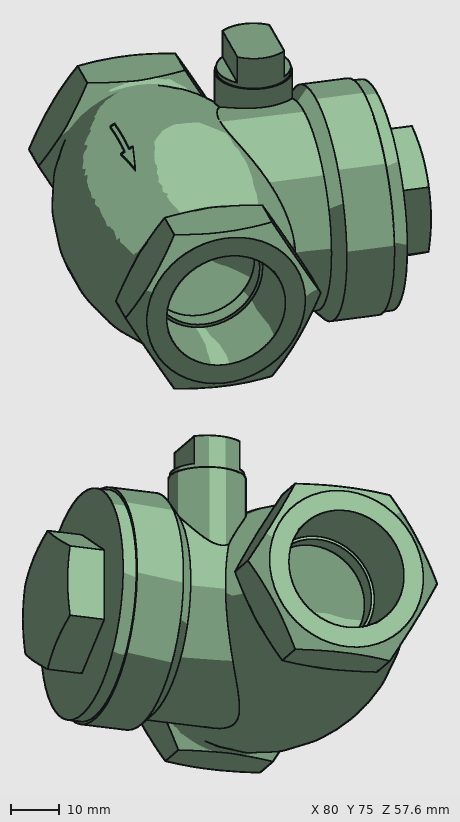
import cadquery as cq
import math

LENGTH = 80.0
HALF_LENGTH = LENGTH / 2

BODY_RADIUS = 24.0
NECK_RADIUS = 17.6
NECK_X = 27.2
NECK_FILLET = 2.0

END_HEX_FLATS = 36.0
END_HEX_CORNER = END_HEX_FLATS / math.sqrt(3)
END_FACE_RADIUS = 16.9
END_BEVEL_ANGLE = math.radians(30)

BORE_MOUTH_RADIUS = 12.6
BORE_INNER_RADIUS = 12.2
BORE_DEPTH = 16.0
DRILL_RADIUS = 11.5
DRILL_DEPTH = 20.0
DRILL_POINT_ANGLE = math.radians(118)

BRANCH_RADIUS = 22.0
FLANGE_RADIUS = 24.6
FLANGE_START_Y = 29.9
FLANGE_END_Y = 40.1
FLANGE_CHAMFER = FLANGE_RADIUS - BRANCH_RADIUS
CAP_RADIUS = 24.0
CAP_END_Y = 43.0
COVER_HEX_FLATS = 26.1
COVER_HEX_CORNER = COVER_HEX_FLATS / math.sqrt(3)
COVER_HEX_END_Y = 51.0
COVER_HEX_FACE_RADIUS = 13.0
COVER_BEVEL_ANGLE = math.radians(15)

STUD_X = -12.0
STUD_Y = 20.0
STUD_RADIUS = 8.0
STUD_SHOULDER_Z = 26.0
STUD_TOP_RADIUS = 7.7
STUD_FLAT_Z = 27.0
STUD_TOP_Z = 33.0
STUD_FLATS = 10.0

ARROW_Y = -11.6
ARROW_TAIL_X = -6.2
ARROW_HEAD_X = 5.1
ARROW_TIP_X = 11.8
ARROW_SHAFT_HALF = 0.5
ARROW_HEAD_HALF = 1.3
ARROW_HEIGHT = 0.2


def make_body():
    """Solid of revolution about X: end bevels, fillets at the necks and a bulging middle."""
    fillet_y = NECK_RADIUS + NECK_FILLET
    rise = BODY_RADIUS - fillet_y
    bulge = (NECK_X**2 + rise**2 - NECK_FILLET**2) / (2 * (rise + NECK_FILLET))
    blend = math.asin(NECK_X / (bulge + NECK_FILLET))
    blend_x = NECK_X - NECK_FILLET * math.sin(blend)
    blend_r = fillet_y - NECK_FILLET * math.cos(blend)

    bevel_x = NECK_X + NECK_FILLET * math.cos(END_BEVEL_ANGLE)
    bevel_r = fillet_y - NECK_FILLET * math.sin(END_BEVEL_ANGLE)
    inner_x = bevel_x + (END_HEX_CORNER - bevel_r) * math.tan(END_BEVEL_ANGLE)
    outer_x = HALF_LENGTH - (END_HEX_CORNER - END_FACE_RADIUS) * math.tan(END_BEVEL_ANGLE)

    turned = (
        cq.Workplane("XY")
        .moveTo(-HALF_LENGTH, 0)
        .lineTo(-HALF_LENGTH, END_FACE_RADIUS)
        .lineTo(-outer_x, END_HEX_CORNER)
        .lineTo(-inner_x, END_HEX_CORNER)
        .lineTo(-bevel_x, bevel_r)
        .threePointArc((-NECK_X, NECK_RADIUS), (-blend_x, blend_r))
        .threePointArc((0, BODY_RADIUS), (blend_x, blend_r))
        .threePointArc((NECK_X, NECK_RADIUS), (bevel_x, bevel_r))
        .lineTo(inner_x, END_HEX_CORNER)
        .lineTo(outer_x, END_HEX_CORNER)
        .lineTo(HALF_LENGTH, END_FACE_RADIUS)
        .lineTo(HALF_LENGTH, 0)
        .close()
        .revolve(360, (0, 0, 0), (1, 0, 0))
    )

    bulge_zone = cq.Workplane("YZ").circle(LENGTH).extrude(NECK_X, both=True)
    hexagon = cq.Workplane("YZ").polygon(6, 2 * END_HEX_CORNER).extrude(HALF_LENGTH, both=True)
    return turned.intersect(bulge_zone.union(hexagon))


def make_bore():
    """Blind bore at the -X end, turned about X."""
    shoulder_x = -HALF_LENGTH + BORE_DEPTH
    drill_x = -HALF_LENGTH + DRILL_DEPTH
    tip_x = drill_x + DRILL_RADIUS / math.tan(DRILL_POINT_ANGLE / 2)
    return (
        cq.Workplane("XY")
        .moveTo(-HALF_LENGTH, 0)
        .lineTo(-HALF_LENGTH, BORE_MOUTH_RADIUS)
        .lineTo(shoulder_x, BORE_INNER_RADIUS)
        .lineTo(shoulder_x, DRILL_RADIUS)
        .lineTo(drill_x, DRILL_RADIUS)
        .lineTo(tip_x, 0)
        .close()
        .revolve(360, (0, 0, 0), (1, 0, 0))
    )


def make_cover():
    """Branch, flange and cap turned about Y, closed by a bevelled hexagon."""
    turned = (
        cq.Workplane("XY")
        .lineTo(BRANCH_RADIUS, 0)
        .lineTo(BRANCH_RADIUS, FLANGE_START_Y - FLANGE_CHAMFER)
        .lineTo(FLANGE_RADIUS, FLANGE_START_Y)
        .lineTo(FLANGE_RADIUS, FLANGE_END_Y)
        .lineTo(CAP_RADIUS, FLANGE_END_Y)
        .lineTo(CAP_RADIUS, CAP_END_Y)
        .lineTo(0, CAP_END_Y)
        .close()
        .revolve(360, (0, 0, 0), (0, 1, 0))
    )
    bevel_width = COVER_HEX_CORNER - COVER_HEX_FACE_RADIUS
    bevel_y = COVER_HEX_END_Y - bevel_width * math.tan(COVER_BEVEL_ANGLE)
    hex_envelope = (
        cq.Workplane("XY")
        .lineTo(COVER_HEX_CORNER, 0)
        .lineTo(COVER_HEX_CORNER, bevel_y)
        .lineTo(COVER_HEX_FACE_RADIUS, COVER_HEX_END_Y)
        .lineTo(0, COVER_HEX_END_Y)
        .close()
        .revolve(360, (0, 0, 0), (0, 1, 0))
    )
    hexagon = (
        cq.Workplane("XZ")
        .transformed(rotate=(0, 0, 90))
        .polygon(6, 2 * COVER_HEX_CORNER)
        .extrude(-COVER_HEX_END_Y)
    )
    return turned.union(hexagon.intersect(hex_envelope))


def make_stud():
    """Round boss with a slightly thinner top that carries two flats."""
    base = cq.Workplane("XY").circle(STUD_RADIUS).extrude(STUD_SHOULDER_Z)
    top = cq.Workplane("XY").circle(STUD_TOP_RADIUS).extrude(STUD_FLAT_Z)
    tang = (
        cq.Workplane("XY")
        .circle(STUD_TOP_RADIUS)
        .extrude(STUD_TOP_Z)
        .intersect(cq.Workplane("XY").rect(2 * STUD_RADIUS, STUD_FLATS).extrude(STUD_TOP_Z))
    )
    return base.union(top).union(tang).translate((STUD_X, STUD_Y, 0))


def make_arrow(body):
    """Arrow-shaped patch of the upper body surface, lifted by the arrow height."""
    half_outline = [
        (ARROW_TAIL_X, ARROW_SHAFT_HALF),
        (ARROW_HEAD_X, ARROW_SHAFT_HALF),
        (ARROW_HEAD_X, ARROW_HEAD_HALF),
    ]
    mirrored = [(x, -y) for x, y in reversed(half_outline)]
    prism = (
        cq.Workplane("XY")
        .polyline(half_outline + [(ARROW_TIP_X, 0)] + mirrored)
        .close()
        .extrude(BODY_RADIUS)
        .translate((0, ARROW_Y, 0))
    )
    return prism.intersect(body).translate((0, 0, ARROW_HEIGHT))


body = make_body()
bore = make_bore()
result = (
    body.union(make_cover())
    .union(make_stud())
    .union(make_arrow(body))
    .cut(bore)
    .cut(bore.mirror("YZ"))
)